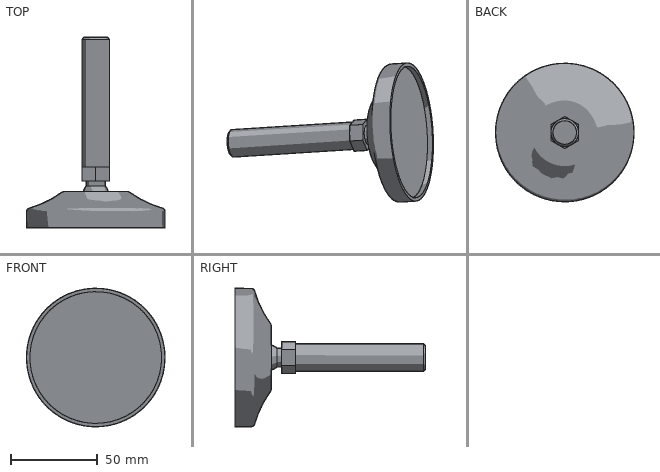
import cadquery as cq
import math


pad_diameter = 80.0
pad_height = 21.0
pad_top_diameter = 38.0
rim_height = 11.0
flank_radius = 60.0
pad_edge_radius = 2.0

recess_diameter = 76.0
recess_depth = 3.0

neck_diameter = 11.0
ball_diameter = 15.0
ball_center = 19.1

hex_across_flats = 16.0
hex_start = 27.0
hex_height = 8.0
stud_diameter = 16.0
stud_chamfer = 1.2
total_length = 110.0


def arc_middle(start, end, radius):
    """Middle point of an arc that bulges to the left of the way from start to end."""
    chord_x = end[0] - start[0]
    chord_y = end[1] - start[1]
    chord = math.hypot(chord_x, chord_y)
    bulge = radius - math.sqrt(radius ** 2 - (chord / 2) ** 2)
    middle_x = (start[0] + end[0]) / 2 - bulge * chord_y / chord
    middle_y = (start[1] + end[1]) / 2 + bulge * chord_x / chord
    return (middle_x, middle_y)


def cylinder_along_y(diameter, start, length):
    """Round bar on the Y axis, running from start toward +Y."""
    plane = cq.Plane(origin=(0, start, 0), xDir=(1, 0, 0), normal=(0, 1, 0))
    return cq.Workplane(plane).circle(diameter / 2).extrude(length)


def make_pad():
    """Pad with straight rim, hollow flank, rounded edges and recessed underside."""
    rim_end = (pad_diameter / 2, rim_height)
    flank_end = (pad_top_diameter / 2, pad_height)
    flank_middle = arc_middle(rim_end, flank_end, flank_radius)
    pad = (
        cq.Workplane("XY")
        .lineTo(pad_diameter / 2, 0)
        .lineTo(*rim_end)
        .threePointArc(flank_middle, flank_end)
        .lineTo(0, pad_height)
        .close()
        .revolve(360, (0, 0, 0), (0, 1, 0))
    )
    pad = pad.faces(">Y").edges().fillet(pad_edge_radius)
    rim_edge_zone = cq.selectors.BoxSelector(
        (-pad_diameter, rim_height / 2, -pad_diameter),
        (pad_diameter, (rim_height + pad_height) / 2, pad_diameter),
    )
    pad = pad.edges("%CIRCLE").edges(rim_edge_zone).fillet(pad_edge_radius)
    recess = cylinder_along_y(recess_diameter, 0, recess_depth)
    return pad.cut(recess)


def make_neck():
    """Narrow neck rising from a ball that stands partly out of the pad."""
    ball = cq.Workplane("XY", origin=(0, ball_center, 0)).sphere(ball_diameter / 2)
    neck = cylinder_along_y(neck_diameter, ball_center, hex_start - ball_center)
    return ball.union(neck)


def make_hexagon():
    """Wrench hexagon with two corners on the Z direction and two flats facing X."""
    hex_across_corners = hex_across_flats / math.cos(math.pi / 6)
    plane = cq.Plane(origin=(0, hex_start, 0), xDir=(0, 0, 1), normal=(0, 1, 0))
    return cq.Workplane(plane).polygon(6, hex_across_corners).extrude(hex_height)


def make_stud():
    """Plain stud with a chamfered free end."""
    stud_start = hex_start + hex_height
    stud = cylinder_along_y(stud_diameter, stud_start, total_length - stud_start)
    return stud.faces(">Y").chamfer(stud_chamfer)


result = make_pad().union(make_neck()).union(make_hexagon()).union(make_stud())